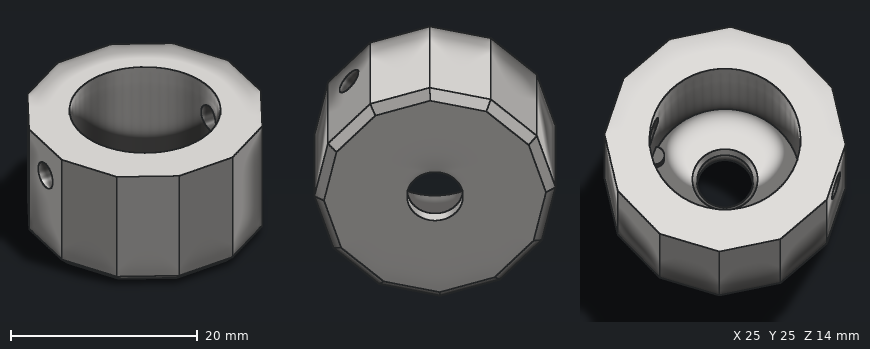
import cadquery as cq
import math

side_count = 12
width_across_flats = 25
height = 14
bottom_chamfer = 1

bore_diameter = 16.2
floor_thickness = 2
floor_hole_diameter = 6
floor_hole_chamfer = 0.5

cross_hole_diameter = 3
cross_hole_below_top = 4

pin_diameter = 2
pin_height = 1
pin_offset = 7.88


def make_body():
    """Dodecagonal prism with flats facing X and Y and a chamfered bottom edge."""
    corner_diameter = width_across_flats / math.cos(math.pi / side_count)
    half_side_angle = 180 / side_count
    prism = (
        cq.Workplane("XY")
        .polygon(side_count, corner_diameter)
        .extrude(height)
        .rotate((0, 0, 0), (0, 0, 1), half_side_angle)
    )
    return prism.faces("<Z").edges().chamfer(bottom_chamfer)


def cut_bore(body):
    """Cut the blind bore, then the chamfered hole through the floor."""
    bored = body.faces(">Z").workplane().hole(bore_diameter, height - floor_thickness)
    floor_hole = cq.Workplane("XY").circle(floor_hole_diameter / 2).extrude(floor_thickness)
    mouth_radius = floor_hole_diameter / 2 + floor_hole_chamfer
    countersink = cq.Workplane(
        cq.Solid.makeCone(
            floor_hole_diameter / 2,
            mouth_radius,
            floor_hole_chamfer,
            pnt=cq.Vector(0, 0, floor_thickness - floor_hole_chamfer),
        )
    )
    return bored.cut(floor_hole).cut(countersink)


def make_cross_hole():
    return (
        cq.Workplane("XZ", origin=(0, 0, height - cross_hole_below_top))
        .circle(cross_hole_diameter / 2)
        .extrude(width_across_flats, both=True)
    )


def make_pin():
    return (
        cq.Workplane("XY", origin=(0, -pin_offset, floor_thickness))
        .circle(pin_diameter / 2)
        .extrude(pin_height)
    )


result = cut_bore(make_body()).cut(make_cross_hole()).union(make_pin())